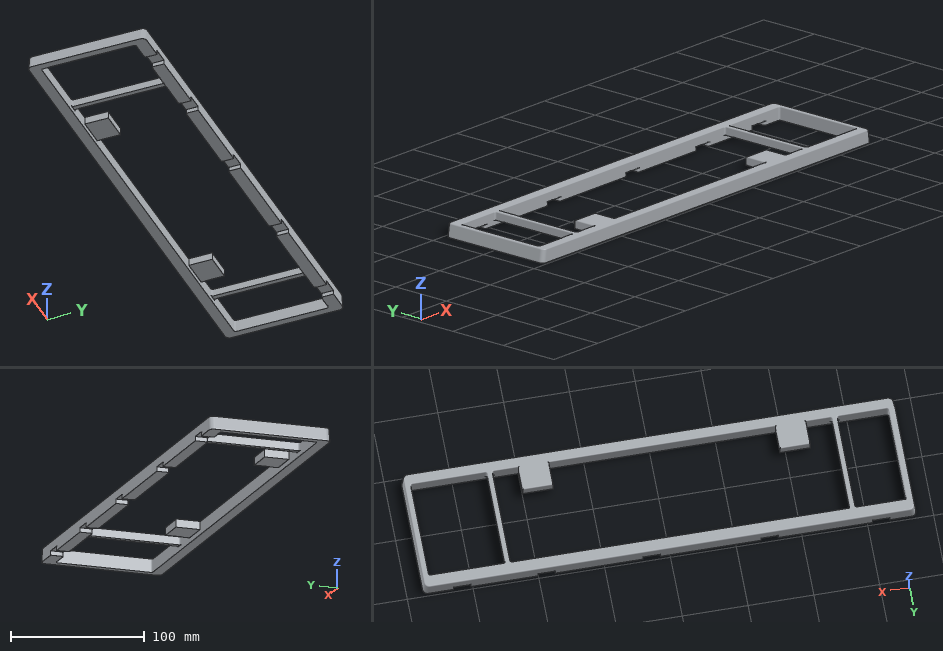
import cadquery as cq
import math

length = 375.0
width = 96.0
height = 11.0

lip_height = 1.0
end_lean = 8.5
corner_radius = 3.7
outer_edge_radius = 1.0
inner_edge_radius = 0.82

end_wall = 6.0
window_front = -39.0
window_back = 38.0
window_radius = 1.5
bar_width = 4.0
bar_centers = (-140.5, 121.5)

tab_width = 23.2
tab_reach = 19.0
tab_centers = (-107.2, 88.0)

underside_clearance = 4.0

notch_width = 13.0
notch_height = 3.5
notch_mouth_radius = 1.5
notch_centers = (-160.5, -75.7, 14.0, 93.7, 158.0)


def span(center, size):
    """Limits of a stretch of the given size about its center."""
    return (center - size / 2, center + size / 2)


def block(x_limits, y_limits, z_limits):
    """Plain box between the given limits."""
    sizes = [high - low for low, high in (x_limits, y_limits, z_limits)]
    corner = (x_limits[0], y_limits[0], z_limits[0])
    return cq.Workplane("XY").box(*sizes, centered=False).translate(corner)


def outer_block():
    """Solid slab with leaning ends, rounded corners and a rounded top edge."""
    half = length / 2
    inset = (height - lip_height) * math.tan(math.radians(end_lean))
    profile = [
        (-half, 0),
        (half, 0),
        (half, lip_height),
        (half - inset, height),
        (inset - half, height),
        (-half, lip_height),
    ]
    slab = cq.Workplane("XZ").polyline(profile).close().extrude(width / 2, both=True)
    slab = slab.edges("not (#Z or |Y)").fillet(corner_radius)
    return slab.faces(">Z").edges().fillet(outer_edge_radius)


def tab_boxes(z_limits):
    """Boxes filling the two tabs between the given heights."""
    y_limits = (window_front, window_front + tab_reach)
    return [block(span(x, tab_width), y_limits, z_limits) for x in tab_centers]


def openings():
    """Cutters for the three windows, with the tabs left standing."""
    bar_sides = [side for x in bar_centers for side in span(x, bar_width)]
    sides = [end_wall - length / 2, *bar_sides, length / 2 - end_wall]
    cutters = []
    for x_limits in zip(sides[::2], sides[1::2]):
        window = block(x_limits, (window_front, window_back), (0, height))
        window = window.edges("|Z").fillet(window_radius)
        for tab in tab_boxes((0, height)):
            window = window.cut(tab)
        cutters.append(window)
    return cutters


def underside_gaps():
    """Cutters that lift the bars, with their corner rounds, and the tabs off the underside."""
    z_limits = (0, underside_clearance)
    gap_width = bar_width + 2 * window_radius
    bar_gaps = [block(span(x, gap_width), (window_front, window_back), z_limits) for x in bar_centers]
    return bar_gaps + tab_boxes(z_limits)


def notch(center):
    """Cutter for one relief under the back rail, with a flared mouth."""
    left, right = span(center, notch_width)
    radius = notch_mouth_radius
    back = width / 2
    outline = (
        cq.Workplane("XY")
        .moveTo(left - radius, window_back)
        .radiusArc((left, window_back + radius), -radius)
        .lineTo(left, back)
        .lineTo(right, back)
        .lineTo(right, window_back + radius)
        .radiusArc((right + radius, window_back), -radius)
        .close()
    )
    return outline.extrude(notch_height)


frame = outer_block()
for opening in openings():
    frame = frame.cut(opening)

rims = frame.faces(">Z").val().innerWires()
rim_edges = [edge for rim in rims for edge in rim.Edges()]
frame = frame.newObject(rim_edges).fillet(inner_edge_radius)

for gap in underside_gaps():
    frame = frame.cut(gap)

for center in notch_centers:
    frame = frame.cut(notch(center))

result = frame.solids()